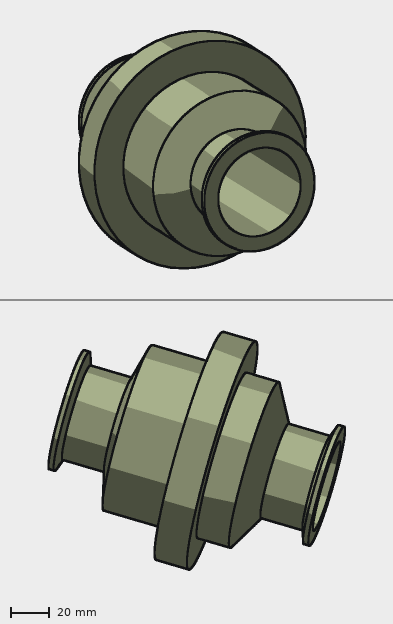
import cadquery as cq
import math


bore_diameter = 47.8
tube_diameter = 50.8
ferrule_diameter = 64.0
body_diameter = 89.0
collar_diameter = 122.5

overall_length = 140.0
ferrule_rim_thickness = 2.85
tube_end = 27.9
inlet_body_length = 17.35
collar_width = 17.5

ferrule_taper_angle = 20.0
inlet_cone_angle = 30.0
outlet_cone_angle = 15.0

bore_radius = bore_diameter / 2
tube_radius = tube_diameter / 2
ferrule_radius = ferrule_diameter / 2
body_radius = body_diameter / 2
collar_radius = collar_diameter / 2


def cone_length(large_radius, small_radius, angle):
    """Axial length of a conical face sloped by angle from the plane square to the axis."""
    return (large_radius - small_radius) * math.tan(math.radians(angle))


ferrule_taper_length = cone_length(ferrule_radius, tube_radius, ferrule_taper_angle)
ferrule_depth = ferrule_rim_thickness + ferrule_taper_length
inlet_cone_length = cone_length(body_radius, tube_radius, inlet_cone_angle)
outlet_cone_length = cone_length(body_radius, tube_radius, outlet_cone_angle)

inlet_face = -overall_length / 2
outlet_face = overall_length / 2
inlet_cone_start = inlet_face + tube_end
inlet_cone_end = inlet_cone_start + inlet_cone_length
collar_start = inlet_cone_end + inlet_body_length
collar_end = collar_start + collar_width
outlet_cone_end = outlet_face - tube_end
outlet_cone_start = outlet_cone_end - outlet_cone_length


def ferrule_profile(face, inward):
    """Points of one ferrule from its end face to the tube; inward is +1 or -1 along X."""
    return [
        (face, bore_radius),
        (face, ferrule_radius),
        (face + inward * ferrule_rim_thickness, ferrule_radius),
        (face + inward * ferrule_depth, tube_radius),
    ]


def body_profile():
    """Points of the cones, body cylinders and collar from inlet to outlet."""
    return [
        (inlet_cone_start, tube_radius),
        (inlet_cone_end, body_radius),
        (collar_start, body_radius),
        (collar_start, collar_radius),
        (collar_end, collar_radius),
        (collar_end, body_radius),
        (outlet_cone_start, body_radius),
        (outlet_cone_end, tube_radius),
    ]


inlet_ferrule = ferrule_profile(inlet_face, 1)
outlet_ferrule = ferrule_profile(outlet_face, -1)
profile = inlet_ferrule + body_profile() + outlet_ferrule[::-1]

result = cq.Workplane("XY").polyline(profile).close().revolve(360, (0, 0, 0), (1, 0, 0))